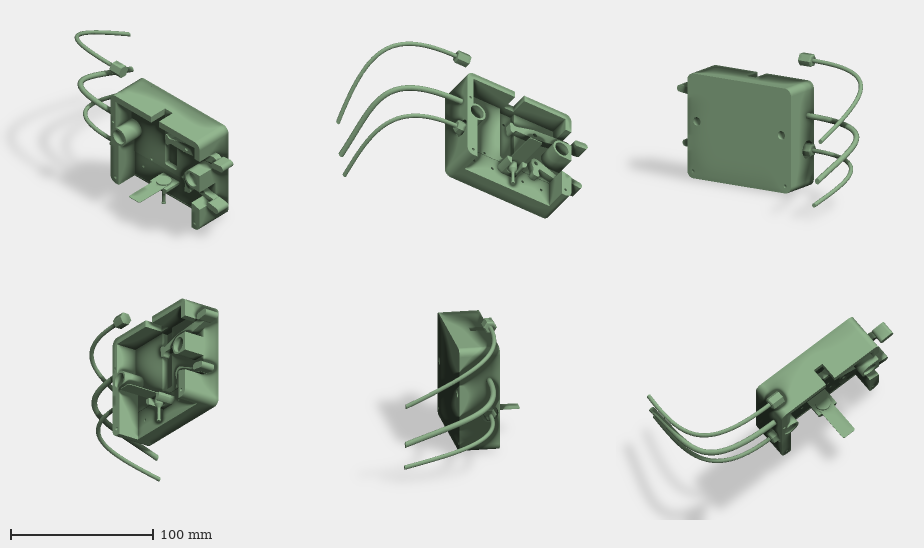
import cadquery as cq

BOX_WIDTH = 87.8
BOX_HEIGHT = 76.1
BOX_DEPTH = 29.0
CORNER_RADIUS = 5.0
COVER_THICKNESS = 3.0
COVER_FRONT = BOX_DEPTH - COVER_THICKNESS
FLOOR_DEPTH = 16.0
WALL = 5.0
POST_WIDTH = 8.1
CAVITY_TOP = BOX_HEIGHT - WALL

BOSS_X = (POST_WIDTH, BOX_WIDTH - POST_WIDTH)
BOSS_Z = 41.8
BOSS_RADIUS = 7.0
BORE_DIAMETER = 11.0
BORE_DEPTH = 21.9
MOUNT_HOLE_DIAMETER = 6.0

UPPER_LUG_BOTTOM = 61.3
RIGHT_POST_TOP_INSIDE = 21.5
RIGHT_POST_TOP_OUTSIDE = 19.4

PANEL_BOTTOM = 1.0
PANEL_TOP = 21.2
PANEL_RECESS = 0.3
SLOT_LEFT = 38.0
SLOT_RIGHT = 49.7
SLOT_BOTTOM = 25.5
SLOT_DEPTH = 4.2
SLOT_CORNER_RADIUS = 1.7
NOTCH_LEFT = 40.1
NOTCH_RIGHT = 47.8
NOTCH_DEPTH = 13.8

SMALL_HOLE_DIAMETER = 2.2
POST_HOLE_DIAMETER = 2.4
POST_HOLE_INSET = 4.9
POST_HOLE_Z = 5.2
SMALL_HOLE_DEPTH = 4.2
SET_SCREW_X = 2.5
PANEL_HOLE_X = (16.3, 31.8, 57.5, 73.1)
PANEL_HOLE_Z = 12.1
FLOOR_HOLE_X = (25.0, 55.0)
FLOOR_HOLE_Z = 22.9
SLOT_HOLE_Z = 61.5

CABLE_Y = 7.7
CABLE_END_Y = 77.8
CABLE_OVERRUN = 1.03
THIN_CABLE_DIAMETER = 3.0
THICK_CABLE_DIAMETER = 4.0
NUT_FLATS = 8.3
NUT_LENGTH = 10.0
NUT_LEFT = -4.7
NUT_CHAMFER = 0.8
NUT_RECESS_DIAMETER = 13.0
UPPER_CABLE_Z = 93.3
MIDDLE_CABLE_Z = 52.7
LOWER_CABLE_Z = 28.1

ARM_THICKNESS = 5.2
HANDLE_THICKNESS = 10.5
HANDLE_DIAMETER = 5.0
PIVOT_HOLE_DIAMETER = 3.2
PIVOT_BORE_DIAMETER = 2.5
PIVOT_COUNTERBORE_DEPTH = 2.5
UPPER_PIVOT = (64.2, 54.9)
LOWER_PIVOT = (65.0, 29.0)
LOWER_HEAD_RADIUS = 4.0

AXIS_X = 44.0
AXIS_Y = 8.6
BRACKET_WIDTH = 16.2
BRACKET_FLAT_WIDTH = 10.1
BRACKET_FRONT = 3.0
BRACKET_TOP = 16.7
BRACKET_HEIGHT = 5.0
BRACKET_SIDE_HEIGHT = 2.0
BRACKET_SLOT_WIDTH = 8.8
BLADE_WIDTH = 10.8
BLADE_THICKNESS = 0.5
BLADE_FRONT = -21.4
BLADE_CORNER_RADIUS = 1.3
BLADE_TOP = BRACKET_TOP + BLADE_THICKNESS
DISC_DIAMETER = 11.0
DISC_THICKNESS = 1.2
HUB_DIAMETER = 6.0
HUB_BOTTOM = 11.3
CONE_BOTTOM = 8.5
STEM_DIAMETER = 2.2
FOOT_DIAMETER = 3.0
FOOT_THICKNESS = 1.0
PLUNGER_BOTTOM = -1.7


def block(x0, x1, y0, y1, z0, z1):
    """Box between two opposite corners."""
    return cq.Workplane("XY").box(x1 - x0, y1 - y0, z1 - z0, centered=False).translate((x0, y0, z0))


def front_plane(y):
    """Sketch plane at depth y with sketch axes X and Z; a negative extrusion goes toward +Y."""
    return cq.Workplane(cq.Plane(origin=(0, y, 0), xDir=(1, 0, 0), normal=(0, -1, 0)))


def along_y(x, z, diameter, y0, y1):
    """Cylinder parallel to Y from depth y0 to depth y1."""
    return front_plane(y0).center(x, z).circle(diameter / 2).extrude(y0 - y1)


def box_slab(y0, y1):
    """Slab with the rounded outline of the box."""
    slab = block(0, BOX_WIDTH, y0, y1, 0, BOX_HEIGHT)
    return slab.edges("|Y").fillet(CORNER_RADIUS)


def make_cavity():
    """Space in front of the floor, open at the bottom and partly open on the right."""
    right_inside = BOX_WIDTH - POST_WIDTH
    outline = [
        (POST_WIDTH, 0),
        (right_inside, 0),
        (right_inside, RIGHT_POST_TOP_INSIDE),
        (BOX_WIDTH, RIGHT_POST_TOP_OUTSIDE),
        (BOX_WIDTH, UPPER_LUG_BOTTOM),
        (BOX_WIDTH - WALL, UPPER_LUG_BOTTOM),
        (BOX_WIDTH - WALL, CAVITY_TOP),
        (WALL, CAVITY_TOP),
        (WALL, BOSS_Z),
        (POST_WIDTH, BOSS_Z),
    ]
    return front_plane(0).polyline(outline).close().extrude(-FLOOR_DEPTH)


def make_bosses():
    """Round boss on the left wall and round-ended block on the right side."""
    left_x, right_x = BOSS_X
    left = along_y(left_x, BOSS_Z, 2 * BOSS_RADIUS, 0, FLOOR_DEPTH)
    left = left.intersect(block(0, BOX_WIDTH, 0, FLOOR_DEPTH, 0, BOX_HEIGHT))
    right = along_y(right_x, BOSS_Z, 2 * BOSS_RADIUS, 0, FLOOR_DEPTH)
    right_block = block(
        right_x, BOX_WIDTH, 0, FLOOR_DEPTH, BOSS_Z - BOSS_RADIUS, BOSS_Z + BOSS_RADIUS
    )
    right = right.intersect(block(0, right_x, 0, FLOOR_DEPTH, 0, BOX_HEIGHT)).union(right_block)
    return left.union(right)


def make_bracket():
    """Shelf on the floor with rounded lower corners and a round-ended slot open to the front."""
    half_width = BRACKET_WIDTH / 2
    half_flat = BRACKET_FLAT_WIDTH / 2
    bottom = BRACKET_TOP - BRACKET_HEIGHT
    side_bottom = BRACKET_TOP - BRACKET_SIDE_HEIGHT
    shelf = (
        front_plane(BRACKET_FRONT)
        .moveTo(AXIS_X - half_width, BRACKET_TOP)
        .lineTo(AXIS_X + half_width, BRACKET_TOP)
        .lineTo(AXIS_X + half_width, side_bottom)
        .radiusArc((AXIS_X + half_flat, bottom), HUB_DIAMETER)
        .lineTo(AXIS_X - half_flat, bottom)
        .radiusArc((AXIS_X - half_width, side_bottom), HUB_DIAMETER)
        .close()
        .extrude(BRACKET_FRONT - FLOOR_DEPTH - PANEL_RECESS)
    )
    slot_radius = BRACKET_SLOT_WIDTH / 2
    slot = block(
        AXIS_X - slot_radius, AXIS_X + slot_radius, BRACKET_FRONT, AXIS_Y, bottom, BRACKET_TOP
    )
    slot_end = (
        cq.Workplane("XY", origin=(AXIS_X, AXIS_Y, bottom)).circle(slot_radius).extrude(BRACKET_HEIGHT)
    )
    return shelf.cut(slot).cut(slot_end)


def make_small_holes():
    """Screw holes in the left wall and the floor."""
    holes = along_y(SET_SCREW_X, MIDDLE_CABLE_Z, SMALL_HOLE_DIAMETER, 0, SMALL_HOLE_DEPTH)
    panel_floor = FLOOR_DEPTH + PANEL_RECESS
    slot_floor = FLOOR_DEPTH + SLOT_DEPTH
    floor_holes = [(x, PANEL_HOLE_Z, panel_floor) for x in PANEL_HOLE_X]
    floor_holes += [(x, FLOOR_HOLE_Z, FLOOR_DEPTH) for x in FLOOR_HOLE_X]
    floor_holes.append((AXIS_X, SLOT_HOLE_Z, slot_floor))
    for x, z, y in floor_holes:
        holes = holes.union(along_y(x, z, SMALL_HOLE_DIAMETER, y, y + SMALL_HOLE_DEPTH))
    return holes


def make_through_holes():
    """Mounting holes and post holes, which pass through the housing and the cover."""
    holes = cq.Workplane("XY")
    for x in BOSS_X:
        holes = holes.add(along_y(x, BOSS_Z, MOUNT_HOLE_DIAMETER, 0, BOX_DEPTH))
    for x in (POST_HOLE_INSET, BOX_WIDTH - POST_HOLE_INSET):
        holes = holes.add(along_y(x, POST_HOLE_Z, POST_HOLE_DIAMETER, 0, BOX_DEPTH))
    return holes.combine()


def make_housing():
    housing = box_slab(0, COVER_FRONT).cut(make_cavity()).union(make_bosses())
    panel_right = BOX_WIDTH - POST_WIDTH
    panel = block(
        POST_WIDTH, panel_right, FLOOR_DEPTH, FLOOR_DEPTH + PANEL_RECESS, PANEL_BOTTOM, PANEL_TOP
    )
    slot = block(
        SLOT_LEFT, SLOT_RIGHT, FLOOR_DEPTH, FLOOR_DEPTH + SLOT_DEPTH, SLOT_BOTTOM, CAVITY_TOP
    )
    slot = slot.edges("|Y and <Z").fillet(SLOT_CORNER_RADIUS)
    notch = block(NOTCH_LEFT, NOTCH_RIGHT, 0, NOTCH_DEPTH, CAVITY_TOP, BOX_HEIGHT)
    nut_recess = (
        cq.Workplane("YZ", origin=(0, CABLE_Y, LOWER_CABLE_Z))
        .circle(NUT_RECESS_DIAMETER / 2)
        .extrude(NUT_LEFT + NUT_LENGTH)
    )
    housing = housing.cut(panel).cut(slot).cut(notch).cut(nut_recess)
    for x in BOSS_X:
        housing = housing.cut(along_y(x, BOSS_Z, BORE_DIAMETER, 0, BORE_DEPTH))
    return housing.cut(make_through_holes()).cut(make_small_holes()).union(make_bracket())


def make_cover():
    return box_slab(COVER_FRONT, BOX_DEPTH).cut(make_through_holes())


def make_cable(start_x, start_z, drop, diameter, bend, end_x):
    """Cable that leaves along -X and bends back in a sloping plane, cut off flush at CABLE_END_Y.

    The bend holds the two middle control points as (x, share of the way to the end).
    """
    run = CABLE_END_Y - CABLE_Y
    controls = [(start_x, 0), *bend, (end_x, CABLE_OVERRUN)]
    points = [cq.Vector(x, CABLE_Y + share * run, start_z - share * drop) for x, share in controls]
    path = cq.Workplane("XY").add(cq.Edge.makeBezier(points)).toPending().wire()
    start_plane = cq.Plane(origin=points[0].toTuple(), xDir=(0, 1, 0), normal=(-1, 0, 0))
    cable = cq.Workplane(start_plane).circle(diameter / 2).sweep(path)
    overrun = cq.Workplane("XZ", origin=(end_x, CABLE_END_Y, start_z - drop))
    return cable.cut(overrun.rect(3 * diameter, 3 * diameter).extrude(-run))


def make_nut(z):
    """Hexagonal nut along X with level top and bottom flats, chamfered at the cable end."""
    corner_diameter = NUT_FLATS / (3**0.5 / 2)
    nut = (
        cq.Workplane("YZ", origin=(NUT_LEFT, CABLE_Y, z)).polygon(6, corner_diameter).extrude(NUT_LENGTH)
    )
    return nut.faces("<X").chamfer(NUT_CHAMFER)


def make_handle(inner_end, outer_end):
    """Thick grip with round ends, centred on two (x, z) points."""
    front = FLOOR_DEPTH - HANDLE_THICKNESS
    axis = cq.Vector(*outer_end) - cq.Vector(*inner_end)
    side = cq.Vector(-axis.y, axis.x).normalized() * (HANDLE_DIAMETER / 2)
    tip = axis.normalized() * (HANDLE_DIAMETER / 2)
    inner = cq.Vector(*inner_end)
    outer = cq.Vector(*outer_end)
    return (
        front_plane(front)
        .moveTo(*(inner + side).toTuple()[:2])
        .lineTo(*(outer + side).toTuple()[:2])
        .threePointArc((outer + tip).toTuple()[:2], (outer - side).toTuple()[:2])
        .lineTo(*(inner - side).toTuple()[:2])
        .threePointArc((inner - tip).toTuple()[:2], (inner + side).toTuple()[:2])
        .close()
        .extrude(-HANDLE_THICKNESS)
    )


def make_upper_lever():
    front = FLOOR_DEPTH - ARM_THICKNESS
    arm = (
        front_plane(front)
        .moveTo(96.4, 58.8)
        .lineTo(91.0, 61.3)
        .lineTo(70.0, 59.6)
        .lineTo(63.2, 59.1)
        .lineTo(49.9, 55.6)
        .threePointArc((47.5, 55.3), (45.5, 56.6))
        .threePointArc((43.6, 56.8), (43.0, 55.0))
        .lineTo(43.6, 50.5)
        .threePointArc((44.5, 48.7), (46.3, 49.2))
        .threePointArc((47.8, 50.9), (49.9, 51.2))
        .lineTo(64.5, 51.2)
        .lineTo(71.6, 52.2)
        .lineTo(96.0, 56.8)
        .close()
        .extrude(-ARM_THICKNESS)
    )
    hole = along_y(*UPPER_PIVOT, PIVOT_HOLE_DIAMETER, front, FLOOR_DEPTH)
    handle = make_handle((96.5, 59.1), (102.8, 59.8))
    return arm.union(handle).cut(hole)


def make_lower_lever():
    front = FLOOR_DEPTH - ARM_THICKNESS
    x, z = LOWER_PIVOT
    arm = (
        front_plane(front)
        .moveTo(66.7, z + 3.7)
        .lineTo(83.5, 25.3)
        .lineTo(91.0, 24.5)
        .lineTo(91.0, 19.4)
        .lineTo(69.7, 24.8)
        .threePointArc((67.4, 24.1), (67.2, 21.9))
        .lineTo(67.9, 19.4)
        .threePointArc((67.2, 17.9), (65.7, 17.4))
        .lineTo(64.0, 17.4)
        .threePointArc((62.5, 18.4), (62.5, 20.2))
        .lineTo(63.0, 23.4)
        .lineTo(x - LOWER_HEAD_RADIUS, z - 0.7)
        .close()
        .extrude(-ARM_THICKNESS)
    )
    head = along_y(x, z, 2 * LOWER_HEAD_RADIUS, front, FLOOR_DEPTH)
    handle = make_handle((91.8, 21.9), (98.0, 20.9))
    bore = along_y(x, z, PIVOT_BORE_DIAMETER, front, FLOOR_DEPTH)
    counterbore = along_y(x, z, PIVOT_HOLE_DIAMETER, front, front + PIVOT_COUNTERBORE_DEPTH)
    return arm.union(head).union(handle).cut(bore).cut(counterbore)


def make_blade():
    """Thin tongue with a round back end and a hole for the plunger hub."""
    radius = BLADE_WIDTH / 2
    tongue = block(
        AXIS_X - radius, AXIS_X + radius, BLADE_FRONT, AXIS_Y, BRACKET_TOP, BLADE_TOP
    )
    tongue = tongue.edges("|Z and <Y").fillet(BLADE_CORNER_RADIUS)
    base = cq.Workplane("XY", origin=(AXIS_X, AXIS_Y, BRACKET_TOP))
    round_end = base.circle(radius).extrude(BLADE_THICKNESS)
    hub_hole = base.circle(HUB_DIAMETER / 2).extrude(BLADE_THICKNESS)
    return tongue.union(round_end).cut(hub_hole)


def make_plunger():
    """Turned part: disc, hub, cone, stem and foot."""
    disc_radius = DISC_DIAMETER / 2
    hub_radius = HUB_DIAMETER / 2
    stem_radius = STEM_DIAMETER / 2
    foot_radius = FOOT_DIAMETER / 2
    foot_top = PLUNGER_BOTTOM + FOOT_THICKNESS
    disc_top = BLADE_TOP + DISC_THICKNESS
    profile = [
        (0, PLUNGER_BOTTOM),
        (foot_radius, PLUNGER_BOTTOM),
        (foot_radius, foot_top),
        (stem_radius, foot_top),
        (stem_radius, CONE_BOTTOM),
        (hub_radius, HUB_BOTTOM),
        (hub_radius, BLADE_TOP),
        (disc_radius, BLADE_TOP),
        (disc_radius, disc_top),
        (0, disc_top),
    ]
    half_section = cq.Workplane("XZ", origin=(AXIS_X, AXIS_Y, 0)).polyline(profile).close()
    return half_section.revolve(360, (0, 0, 0), (0, 1, 0))


housing = make_housing()
cover = make_cover()
upper_cable = make_cable(
    NUT_LEFT, UPPER_CABLE_Z, 36.5, THIN_CABLE_DIAMETER, [(-62.7, 0), (-67.0, 0.3)], -57.5
).union(make_nut(UPPER_CABLE_Z))
middle_cable = make_cable(
    0, MIDDLE_CABLE_Z, 25.1, THICK_CABLE_DIAMETER, [(-69.5, 0), (-55.0, 0.39)], -55.3
)
lower_cable = make_cable(
    NUT_LEFT, LOWER_CABLE_Z, 18.4, THIN_CABLE_DIAMETER, [(-60.8, 0), (-55.6, 0.5)], -52.2
).union(make_nut(LOWER_CABLE_Z))
upper_lever = make_upper_lever()
lower_lever = make_lower_lever()
blade = make_blade()
plunger = make_plunger()

bodies = [
    housing,
    cover,
    upper_cable,
    middle_cable,
    lower_cable,
    upper_lever,
    lower_lever,
    blade,
    plunger,
]
result = cq.Compound.makeCompound([body.val() for body in bodies])